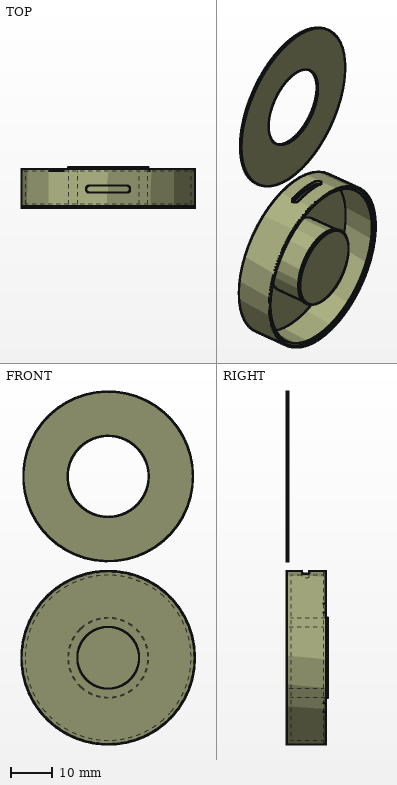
import cadquery as cq

total_height = 85.7
wall = 1.0

housing_diameter = 42.2
housing_depth = 9.5
cavity_diameter = 40.2
rim_height = 0.5
lid_seat_diameter = 41.6

post_diameter = 19.2
post_end_depth = 10.0
bore_diameter = 15.0
lip_diameter = 19.6
lip_chamfer = (lip_diameter - post_diameter) / 2

slot_length = 10.7
slot_width = 1.7
slot_center_y = 4.6

lid_diameter = 41.2
lid_hole_diameter = 19.6
lid_thickness = 0.5
lid_center_z = total_height - housing_diameter / 2 - lid_diameter / 2


def disc(diameter, start_y, end_y, center_z=0.0):
    """Cylinder along Y between two Y positions."""
    plane = cq.Plane(origin=(0, start_y, center_z), xDir=(1, 0, 0), normal=(0, 1, 0))
    return cq.Workplane(plane).circle(diameter / 2).extrude(end_y - start_y)


def make_post():
    """Post rising from the front wall, with a chamfered lip that sticks out at its end."""
    post = disc(post_diameter, 0, post_end_depth)
    lip = disc(lip_diameter, housing_depth, post_end_depth)
    lip = lip.faces(">Y").chamfer(lip_chamfer)
    return post.union(lip)


def make_slot():
    """Round-ended slot cut straight down into the cavity."""
    return (
        cq.Workplane("XY")
        .center(0, slot_center_y)
        .slot2D(slot_length, slot_width)
        .extrude(housing_diameter / 2)
    ).cut(disc(cavity_diameter, 0, housing_depth))


def make_housing():
    """Round tray with a lid seat at the back and a hollow central post."""
    seat_y = housing_depth - rim_height
    shell = disc(housing_diameter, 0, housing_depth)
    shell = shell.cut(disc(cavity_diameter, wall, housing_depth))
    shell = shell.cut(disc(lid_seat_diameter, seat_y, housing_depth))
    shell = shell.union(make_post())
    shell = shell.cut(disc(bore_diameter, 0, post_end_depth - wall))
    return shell.cut(make_slot())


def make_lid():
    """Flat ring that fits the lid seat, with a hole that clears the post."""
    lid = disc(lid_diameter, 0, lid_thickness, lid_center_z)
    return lid.cut(disc(lid_hole_diameter, 0, lid_thickness, lid_center_z))


housing = make_housing()
lid = make_lid()
result = cq.Compound.makeCompound([housing.val(), lid.val()])